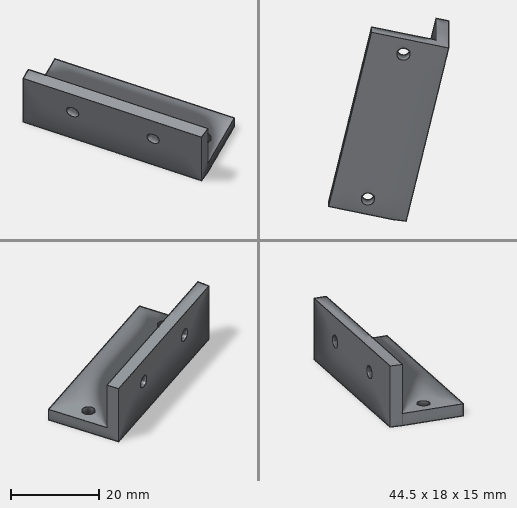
import cadquery as cq

length = 44.5
depth = 18.0
height = 15.0
thickness = 3.0

end_taper = 0.25

hole_diameter = 3.0
wall_hole_spacing = 20.0
wall_hole_height = 9.0
base_hole_spacing = 37.0
base_hole_setback = 9.7

front_length = length - end_taper
hole_centre_x = length / 2


def hole_positions(spacing, offset):
    """Two points either side of the hole centre line, at the given offset."""
    return [(hole_centre_x + side * spacing / 2, offset) for side in (-1, 1)]


plan = (
    cq.Workplane("XY")
    .moveTo(0, 0)
    .lineTo(front_length, 0)
    .lineTo(length, thickness)
    .lineTo(length, depth)
    .lineTo(0, depth)
    .close()
    .extrude(height)
)

clearance = cq.Workplane("XY").box(
    length, depth - thickness, height - thickness, centered=False
).translate((0, thickness, thickness))
bracket = plan.cut(clearance)

base_holes = (
    cq.Workplane("XY")
    .pushPoints(hole_positions(base_hole_spacing, base_hole_setback))
    .circle(hole_diameter / 2)
    .extrude(thickness)
)

wall_holes = (
    cq.Workplane("XZ")
    .pushPoints(hole_positions(wall_hole_spacing, wall_hole_height))
    .circle(hole_diameter / 2)
    .extrude(-thickness)
)

result = bracket.cut(base_holes).cut(wall_holes)